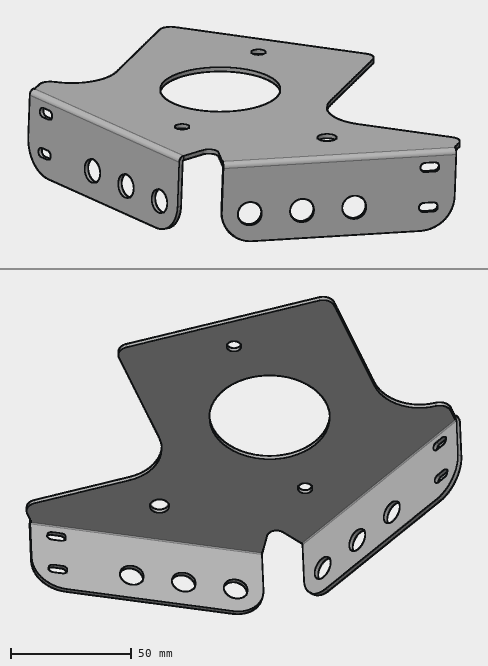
import cadquery as cq
import math

inner_bend_radius = 0.47
outer_bend_radius = 2.5
thickness = outer_bend_radius - inner_bend_radius
bend_line_angle = math.radians(30)
flange_lean = math.radians(5)
bend_apex_y = -80.5

wing_half_width = 93.4
shoulder_y = -16.3
tongue_center_x = -20.9
tongue_width = 94.9
tongue_end_y = 59.2
corner_radius = 5.0
shoulder_radius = 20.0
large_hole_diameter = 50.0
small_hole_diameter = 6.0
small_hole_offset = 45.0
wing_hole_diameter = 8.0
wing_hole_position = (39.8, -35.1)
notch_radius = 4.0
notch_top_y = -64.7

overall_length = 189.7
overall_height = 34.7
flange_outer_x = -overall_length / 2
flange_inner_x = -9.9
outer_end_corner_radius = 15.0
inner_end_corner_radius = 12.5
round_hole_diameter = 10.0
round_hole_first_x = -58.3
round_hole_pitch = 22.0
round_hole_count = 3
round_hole_z = -22.5
slot_length = 8.0
slot_width = 4.0
slot_x = -85.4
slot_heights = (-7.2, -24.5)

cos_plan = math.cos(bend_line_angle)
sin_plan = math.sin(bend_line_angle)
cos_lean = math.cos(flange_lean)
sin_lean = math.sin(flange_lean)
bottom_z = -overall_height + thickness * sin_lean


def bend_line_y(x):
    return bend_apex_y + abs(x) * math.tan(bend_line_angle)


def make_plate():
    tongue_left = tongue_center_x - tongue_width / 2
    tongue_right = tongue_center_x + tongue_width / 2
    wing_end_y = bend_line_y(wing_half_width)
    plate = (
        cq.Workplane("XY")
        .moveTo(0, bend_apex_y)
        .lineTo(wing_half_width, wing_end_y)
        .lineTo(wing_half_width, shoulder_y)
        .lineTo(tongue_right, shoulder_y)
        .lineTo(tongue_right, tongue_end_y)
        .lineTo(tongue_left, tongue_end_y)
        .lineTo(tongue_left, shoulder_y)
        .lineTo(-wing_half_width, shoulder_y)
        .lineTo(-wing_half_width, wing_end_y)
        .close()
        .extrude(-thickness)
    )

    def vertical_edges_at(points):
        reach = 0.2
        boxes = [
            cq.selectors.BoxSelector((x - reach, y - reach, -thickness), (x + reach, y + reach, 0))
            for x, y in points
        ]
        selector = boxes[0]
        for box in boxes[1:]:
            selector = selector + box
        return plate.edges("|Z").edges(selector)

    plate = vertical_edges_at([(tongue_left, shoulder_y), (tongue_right, shoulder_y)]).fillet(shoulder_radius)
    plate = vertical_edges_at([
        (tongue_left, tongue_end_y),
        (tongue_right, tongue_end_y),
        (-wing_half_width, shoulder_y),
        (wing_half_width, shoulder_y),
    ]).fillet(corner_radius)

    plate = plate.cut(make_notch())
    plate = plate.cut(round_cutter((tongue_center_x, 0), large_hole_diameter))
    for y in (-small_hole_offset, small_hole_offset):
        plate = plate.cut(round_cutter((tongue_center_x, y), small_hole_diameter))
    return plate.cut(round_cutter(wing_hole_position, wing_hole_diameter))


def round_cutter(center, diameter):
    return cq.Workplane("XY").center(*center).circle(diameter / 2).extrude(-thickness)


def make_notch():
    """Round-topped notch whose straight sides are square to the bend lines."""
    tangent_x = notch_radius * cos_plan
    tangent_y = notch_top_y - notch_radius * (1 - sin_plan)
    foot_x = tangent_x + (tangent_y - bend_apex_y) * math.tan(bend_line_angle)
    return (
        cq.Workplane("XY")
        .moveTo(-foot_x, bend_apex_y)
        .lineTo(-tangent_x, tangent_y)
        .threePointArc((0, notch_top_y), (tangent_x, tangent_y))
        .lineTo(foot_x, bend_apex_y)
        .close()
        .extrude(-thickness)
    )


face_offset = outer_bend_radius * (cos_lean - (1 - sin_lean) * math.tan(flange_lean))


def on_face(x, z):
    """Local (along bend, up the face) coordinates of a point on the left outer face."""
    outward = face_offset - z * math.tan(flange_lean)
    return (x + outward * sin_plan) / cos_plan, z / cos_lean


def make_left_flange():
    along = cq.Vector(cos_plan, -sin_plan, 0)
    outward = cq.Vector(-sin_plan, -cos_plan, 0)
    up = cq.Vector(0, 0, 1)
    apex = cq.Vector(0, bend_apex_y, 0)

    bend_angle = math.pi / 2 - flange_lean

    def arc_point(radius, angle):
        return radius * math.sin(angle), -outer_bend_radius + radius * math.cos(angle)

    def leg_end(radius):
        x, z = arc_point(radius, bend_angle)
        return x + overall_height * sin_lean, z - overall_height * cos_lean

    section = (
        cq.Workplane(cq.Plane(apex, outward, along * -1))
        .moveTo(0, 0)
        .threePointArc(arc_point(outer_bend_radius, bend_angle / 2), arc_point(outer_bend_radius, bend_angle))
        .lineTo(*leg_end(outer_bend_radius))
        .lineTo(*leg_end(inner_bend_radius))
        .lineTo(*arc_point(inner_bend_radius, bend_angle))
        .threePointArc(arc_point(inner_bend_radius, bend_angle / 2), arc_point(inner_bend_radius, 0))
        .close()
        .extrude(overall_length)
    )

    face_normal = outward * cos_lean + up * sin_lean
    face_plane = cq.Plane(apex + outward * face_offset, along, face_normal)
    trim_depth = 2 * outer_bend_radius
    outline = (
        cq.Workplane(face_plane)
        .polyline([
            on_face(flange_outer_x, thickness),
            on_face(flange_inner_x, thickness),
            on_face(flange_inner_x, bottom_z),
            on_face(flange_outer_x, bottom_z),
        ])
        .close()
        .extrude(trim_depth, both=True)
    )
    lower_corners = (
        (flange_outer_x, outer_end_corner_radius),
        (flange_inner_x, inner_end_corner_radius),
    )
    for x, radius in lower_corners:
        corner = face_plane.toWorldCoords(on_face(x, bottom_z))
        outline = outline.edges(cq.selectors.NearestToPointSelector(corner.toTuple())).fillet(radius)
    flange = section.intersect(outline)

    round_holes = [
        on_face(round_hole_first_x + i * round_hole_pitch * cos_plan, round_hole_z)
        for i in range(round_hole_count)
    ]
    slots = [on_face(slot_x, z) for z in slot_heights]
    holes = cq.Workplane(face_plane).pushPoints(round_holes).circle(round_hole_diameter / 2)
    flange = flange.cut(holes.extrude(trim_depth, both=True))
    slot_cutters = cq.Workplane(face_plane).pushPoints(slots).slot2D(slot_length, slot_width)
    return flange.cut(slot_cutters.extrude(trim_depth, both=True))


left_flange = make_left_flange()
right_flange = left_flange.mirror("YZ")
result = make_plate().union(left_flange).union(right_flange)